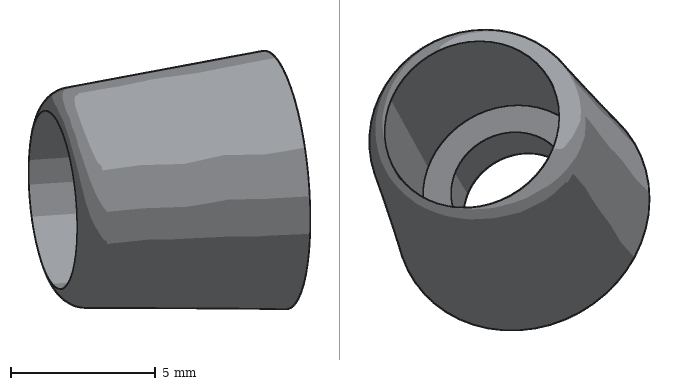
import cadquery as cq
import math

length = 8.0
large_radius = 4.5
taper_angle = 5.3
rounding_start = 0.87
bore_radius = 3.1
floor_thickness = 2.0
hole_radius = 2.1

taper = math.tan(math.radians(taper_angle))
shoulder_radius = large_radius - (length - rounding_start) * taper
floor_y = length - floor_thickness


def outer_body():
    """Solid cone whose small end is rounded, tangent to the cone, down to the bore edge."""
    profile = (
        cq.Workplane("XY")
        .lineTo(0, length)
        .lineTo(large_radius, length)
        .lineTo(shoulder_radius, rounding_start)
        .tangentArcPoint((bore_radius, 0), relative=False)
        .close()
    )
    return profile.revolve(360, (0, 0, 0), (0, 1, 0))


def cylinder_along_y(radius, start_y, end_y):
    """Cylinder on the Y axis between two Y positions."""
    return (
        cq.Workplane("XZ", origin=(0, start_y, 0))
        .circle(radius)
        .extrude(start_y - end_y)
    )


bore = cylinder_along_y(bore_radius, 0, floor_y)
through_hole = cylinder_along_y(hole_radius, 0, length)

result = outer_body().cut(bore).cut(through_hole)